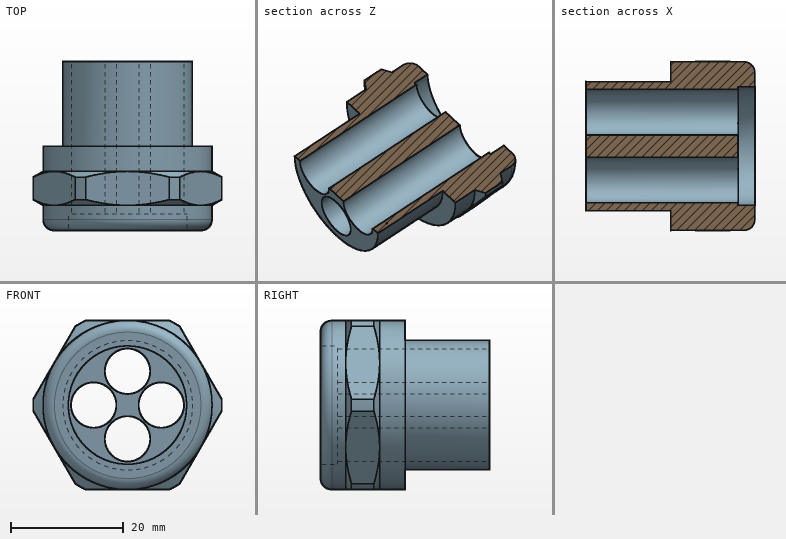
import cadquery as cq
import math

body_diameter = 30.0
hex_corner_diameter = 33.5
hex_length = 6.0
body_length = 15.0
tube_diameter = 23.0
tube_length = 15.0
front_fillet = 2.0
hex_chamfer_angle = 30.0
recess_diameter = 21.0
recess_depth = 3.0
hole_diameter = 8.0
hole_circle_radius = 6.0
hole_count = 4

body_radius = body_diameter / 2
corner_radius = hex_corner_diameter / 2
hex_start = (body_length - hex_length) / 2
hex_end = hex_start + hex_length
total_length = body_length + tube_length


def cylinder(diameter, start, length):
    """Cylinder along +Y starting at Y = start."""
    plane = cq.Workplane("XZ", origin=(0, start, 0))
    return plane.circle(diameter / 2).extrude(-length)


def make_hexagon():
    """Hexagon with flats facing +/-Z, its corners turned round and chamfered."""
    across_corners = body_diameter / math.cos(math.radians(30))
    prism = (
        cq.Workplane("XZ", origin=(0, hex_start, 0))
        .polygon(6, across_corners)
        .extrude(-hex_length)
    )
    chamfer_length = (corner_radius - body_radius) * math.tan(math.radians(hex_chamfer_angle))
    turned_blank = (
        cq.Workplane("XY")
        .moveTo(0, hex_start)
        .lineTo(body_radius, hex_start)
        .lineTo(corner_radius, hex_start + chamfer_length)
        .lineTo(corner_radius, hex_end - chamfer_length)
        .lineTo(body_radius, hex_end)
        .lineTo(0, hex_end)
        .close()
        .revolve(360, (0, 0, 0), (0, 1, 0))
    )
    return prism.intersect(turned_blank)


def make_cable_holes():
    """Through holes spaced evenly on a circle around the axis."""
    return (
        cq.Workplane("XZ")
        .polarArray(hole_circle_radius, 0, 360, hole_count)
        .circle(hole_diameter / 2)
        .extrude(-total_length)
    )


body = cylinder(body_diameter, 0, body_length).faces("<Y").edges().fillet(front_fillet)
tube = cylinder(tube_diameter, body_length, tube_length)
recess = cylinder(recess_diameter, 0, recess_depth)

result = body.union(make_hexagon()).union(tube).cut(recess).cut(make_cable_holes())